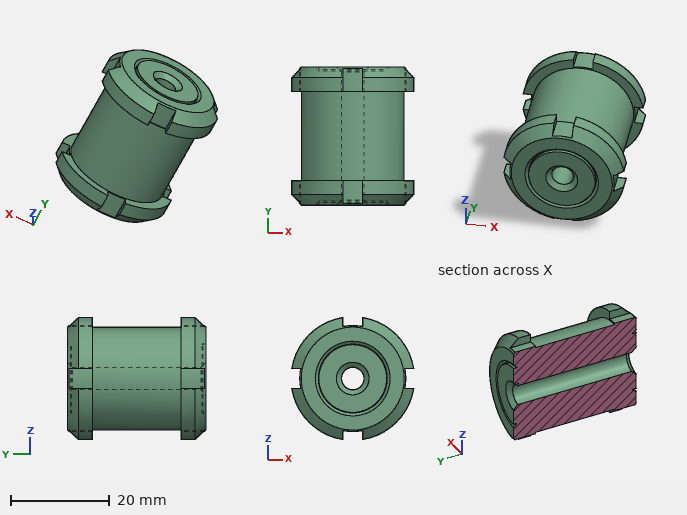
import cadquery as cq

length = 28.0
body_diameter = 20.8
flange_diameter = 25.0
flange_width = 5.0

bevel_length = 2.2
face_diameter = body_diameter

slot_width = 4.0
slot_floor_diameter = 21.45
slot_count = 4

disc_diameter = 13.7
groove_diameter = 13.92
groove_mouth_diameter = 15.1
groove_depth = 0.85

bore_diameter = 4.5
countersink_diameter = 6.58

half_length = length / 2
flange_inner_y = half_length - flange_width


def revolve_profile(points):
    """Revolve a closed (radius, y) outline around the Y axis."""
    return cq.Workplane("XY").polyline(points).close().revolve(360, (0, 0, 0), (0, 1, 0))


def spool():
    """The whole turned spool, with its bore, countersinks and ring grooves."""
    bevel_start_y = half_length - bevel_length
    countersink_depth = (countersink_diameter - bore_diameter) / 2
    mouth_depth = (groove_mouth_diameter - groove_diameter) / 2
    upper_half = [
        (body_diameter / 2, flange_inner_y),
        (flange_diameter / 2, flange_inner_y),
        (flange_diameter / 2, bevel_start_y),
        (face_diameter / 2, half_length),
        (groove_mouth_diameter / 2, half_length),
        (groove_diameter / 2, half_length - mouth_depth),
        (groove_diameter / 2, half_length - groove_depth),
        (disc_diameter / 2, half_length - groove_depth),
        (disc_diameter / 2, half_length),
        (countersink_diameter / 2, half_length),
        (bore_diameter / 2, half_length - countersink_depth),
    ]
    lower_half = [(radius, -y) for radius, y in reversed(upper_half)]
    return revolve_profile(upper_half + lower_half)


def rim_slots():
    """Cutters for the slots of the +Y flange, each with a round floor."""
    bars = cq.Workplane("XY")
    for index in range(slot_count // 2):
        bar = (
            cq.Workplane("XY")
            .box(flange_diameter, flange_width, slot_width)
            .translate((0, half_length - flange_width / 2, 0))
            .rotate((0, 0, 0), (0, 1, 0), index * 360 / slot_count)
        )
        bars = bars.add(bar)
    floor_radius = slot_floor_diameter / 2
    core = revolve_profile([
        (0, flange_inner_y),
        (floor_radius, flange_inner_y),
        (floor_radius, half_length),
        (0, half_length),
    ])
    return bars.combine().cut(core)


slots = rim_slots()
result = spool().cut(slots).cut(slots.mirror("XZ"))